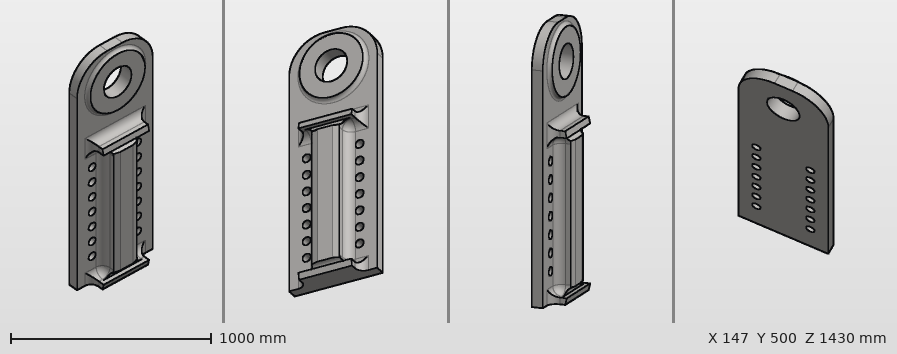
import cadquery as cq

height = 1430.0
width = 500.0
thickness = 60.0
shoulder_radius = 200.0

eye_z = 1217.0
eye_diameter = 182.0
boss_radius = 180.0
boss_height = 21.0

hole_diameter = 46.0
hole_spacing_y = 300.0
hole_pitch = 95.1
hole_rows = 7
lowest_hole_z = 166.0

total_depth = 147.0
stiffener_top = 900.0
crossbar_length = 300.0
crossbar_width = 36.0
spine_half_width = 77.0
root_radius = 49.0
bevel_drop = 9.0
relief_radius = 29.0
relief_offset = 6.0

crossbar_inner_top = stiffener_top - crossbar_width
stiffener_middle = stiffener_top / 2


def box(x_range, y_range, z_range):
    """Box spanning the given (low, high) ranges."""
    sizes = [high - low for low, high in (x_range, y_range, z_range)]
    corner = (x_range[0], y_range[0], z_range[0])
    return cq.Workplane("XY").box(*sizes, centered=False).translate(corner)


def rod(radius, x_start, length, y, z):
    """Cylinder along X."""
    return cq.Workplane("YZ", origin=(x_start, y, z)).circle(radius).extrude(length)


def make_plate():
    plate = box((0, thickness), (-width / 2, width / 2), (0, height))
    return plate.edges("|X and >Z").fillet(shoulder_radius)


def make_boss():
    """Disc whose side flares into the plate as a concave quarter round."""
    foot_radius = boss_radius + boss_height
    middle_offset = boss_height * (1 - 0.5 ** 0.5)
    profile = (
        cq.Workplane("XY")
        .lineTo(thickness, 0)
        .lineTo(thickness, foot_radius)
        .threePointArc(
            (thickness + middle_offset, boss_radius + middle_offset),
            (thickness + boss_height, boss_radius),
        )
        .lineTo(thickness + boss_height, 0)
        .close()
    )
    return profile.revolve(360, (0, 0, 0), (1, 0, 0)).translate((0, 0, eye_z))


def add_stiffener(plate):
    """Raise the I-shape and round its roots and inside corners with one radius."""
    overrun = 2 * root_radius
    depth = (0, total_depth)
    bar_y = (-crossbar_length / 2, crossbar_length / 2)
    spine_y = (-spine_half_width, spine_half_width)
    upper_bar = box(depth, bar_y, (crossbar_inner_top, stiffener_top))
    lower_bar = box(depth, bar_y, (-overrun, crossbar_width))
    spine = box(depth, spine_y, (0, stiffener_top))
    extension = box((0, thickness), (-width / 2, width / 2), (-2 * overrun, 0))
    body = plate.union(extension).union(upper_bar).union(lower_bar).union(spine).clean()

    margin = 1.0
    root_zone = cq.selectors.BoxSelector(
        (thickness - margin, bar_y[0] - margin, -overrun - margin),
        (thickness + margin, bar_y[1] + margin, stiffener_top + margin),
    )
    corner_zone = cq.selectors.BoxSelector(
        (thickness + margin, spine_y[0] - margin, crossbar_width - margin),
        (total_depth - margin, spine_y[1] + margin, crossbar_inner_top + margin),
    )
    body = body.edges(root_zone + corner_zone).fillet(root_radius)
    return body.intersect(box(depth, (-width / 2, width / 2), (0, height)))


def bevel_crossbars(body):
    """Slope each crossbar's outer face down towards its outer end in Z."""
    wedge = (
        cq.Workplane("XZ")
        .moveTo(total_depth, crossbar_inner_top)
        .lineTo(total_depth, stiffener_top)
        .lineTo(total_depth - bevel_drop, stiffener_top)
        .close()
        .extrude(width / 2, both=True)
    )
    opposite = wedge.mirror("XY", (0, 0, stiffener_middle))
    return body.cut(wedge).cut(opposite)


def bevel_spine(body):
    """Slope the long edges of the spine between the crossbars."""
    length = crossbar_inner_top - crossbar_width
    wedge = (
        cq.Workplane("XY", origin=(0, 0, crossbar_width))
        .moveTo(total_depth, spine_half_width - crossbar_width)
        .lineTo(total_depth, crossbar_length / 2)
        .lineTo(total_depth - bevel_drop, crossbar_length / 2)
        .lineTo(total_depth - bevel_drop, spine_half_width)
        .close()
        .extrude(length)
    )
    return body.cut(wedge).cut(wedge.mirror("XZ"))


def cut_reliefs(body):
    """Round grooves along Y, beside the inner face of each crossbar."""
    between_bars = box(
        (0, 2 * total_depth), (-width / 2, width / 2), (crossbar_width, crossbar_inner_top)
    )
    groove = (
        cq.Workplane("XZ", origin=(total_depth, 0, crossbar_inner_top - relief_offset))
        .circle(relief_radius)
        .extrude(width / 2, both=True)
        .intersect(between_bars)
    )
    return body.cut(groove).cut(groove.mirror("XY", (0, 0, stiffener_middle)))


def drill_holes(body):
    body = body.cut(rod(eye_diameter / 2, 0, total_depth, 0, eye_z))
    for row in range(hole_rows):
        z = lowest_hole_z + row * hole_pitch
        for y in (-hole_spacing_y / 2, hole_spacing_y / 2):
            body = body.cut(rod(hole_diameter / 2, 0, total_depth, y, z))
    return body


body = add_stiffener(make_plate())
body = bevel_crossbars(body)
body = bevel_spine(body)
body = cut_reliefs(body)
body = body.union(make_boss())
result = drill_holes(body)